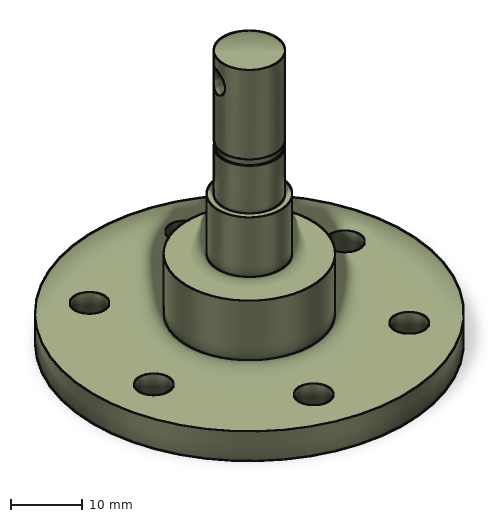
import cadquery as cq

flange_diameter = 60.0
flange_thickness = flange_diameter / 12

bolt_count = 6
bolt_circle_diameter = 0.75 * flange_diameter
bolt_hole_diameter = 5.5

hub_diameter = 0.4 * flange_diameter
hub_height = 2 * flange_thickness
collar_diameter = hub_diameter / 2
collar_height = hub_height
collar_top = flange_thickness + hub_height + collar_height
shaft_diameter = hub_height
overall_height = 49.1
shaft_height = overall_height - collar_top

groove_diameter = 9.6
groove_width = 1.1
groove_bottom = collar_top + 8.0

cross_hole_diameter = 0.4 * shaft_diameter
cross_hole_height = overall_height - cross_hole_diameter


def make_flange():
    """Flat round flange with a ring of bolt holes."""
    disc = cq.Workplane("XY").circle(flange_diameter / 2).extrude(flange_thickness)
    bolt_holes = (
        cq.Workplane("XY")
        .polarArray(bolt_circle_diameter / 2, 0, 360, bolt_count)
        .circle(bolt_hole_diameter / 2)
        .extrude(flange_thickness)
    )
    return disc.cut(bolt_holes)


def make_post():
    """Turned post with three steps, a ring groove and a cross hole near its top."""
    steps = (
        cq.Workplane("XY", origin=(0, 0, flange_thickness))
        .circle(hub_diameter / 2)
        .extrude(hub_height)
        .faces(">Z")
        .workplane()
        .circle(collar_diameter / 2)
        .extrude(collar_height)
        .faces(">Z")
        .workplane()
        .circle(shaft_diameter / 2)
        .extrude(shaft_height)
    )
    groove = (
        cq.Workplane("XY", origin=(0, 0, groove_bottom))
        .circle(shaft_diameter / 2)
        .circle(groove_diameter / 2)
        .extrude(groove_width)
    )
    cross_hole = (
        cq.Workplane("XZ")
        .center(0, cross_hole_height)
        .circle(cross_hole_diameter / 2)
        .extrude(shaft_diameter, both=True)
    )
    return steps.cut(groove).cut(cross_hole)


flange = make_flange().solids()
post = make_post().solids()

result = cq.Compound.makeCompound([flange.val(), post.val()])